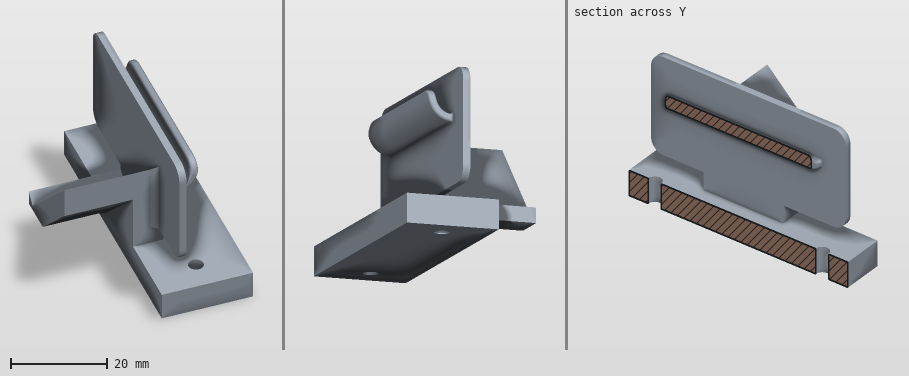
import cadquery as cq
import math

base_length = 57.15
base_depth = 20.3
base_height = 6.35
hole_diameter = 3.3
hole_spacing = 43.65

plate_length = 50.75
plate_bottom = 10.8
plate_top = 35.25
plate_front = 5.15
plate_thickness = 1.6
plate_back = plate_front + plate_thickness
corner_radius = 3.2

arm_left = -9.05
arm_right = 11.8
arm_reach = 15.25
valley_x = -6.8
valley_z = 7.45
under_right_z = 19.05
seat_right_z = valley_z + arm_right - valley_x
lip_z = valley_z + valley_x - arm_left
under_left_x = arm_right - (under_right_z - base_height)

side_gusset = 1.55
lower_gusset = 3.1

hook_length = 38.2
hook_outer_radius = 5.15
hook_thickness = 1.65
hook_center_z = 29.5
hook_top = 31.2
hook_edge_radius = 0.5
hook_root_radius = 0.45


def box_between(low, high):
    """Box spanning two opposite corners."""
    size = [b - a for a, b in zip(low, high)]
    return cq.Workplane("XY").box(*size, centered=False).translate(low)


def extrude_along_y(points, front, back):
    """Closed X-Z outline extruded between two Y positions."""
    profile = cq.Workplane("XZ", origin=(0, back, 0)).polyline(points).close()
    return profile.extrude(back - front)


def make_base():
    half_length = base_length / 2
    block = box_between((-half_length, 0, 0), (half_length, base_depth, base_height))
    drill = (
        cq.Workplane("XY")
        .pushPoints([(side * hole_spacing / 2, base_depth / 2) for side in (-1, 1)])
        .circle(hole_diameter / 2)
        .extrude(base_height)
    )
    return block.cut(drill)


def make_plate():
    half_length = plate_length / 2
    low = (-half_length, plate_front, plate_bottom)
    high = (half_length, plate_back, plate_top)
    return box_between(low, high).edges("|Y").fillet(corner_radius)


def make_post():
    """Post carrying the plate above the base."""
    low = (arm_left, plate_front, base_height)
    high = (arm_right, plate_back, plate_bottom)
    return box_between(low, high)


def make_arm():
    """Sloping seat, with a web below it that ends flush with the base front."""
    seat = extrude_along_y(
        [
            (arm_left, base_height),
            (arm_left, lip_z),
            (valley_x, valley_z),
            (arm_right, seat_right_z),
            (arm_right, under_right_z),
            (under_left_x, base_height),
        ],
        -arm_reach,
        plate_front,
    )
    web = extrude_along_y(
        [
            (under_left_x, base_height),
            (arm_right, under_right_z),
            (arm_right, base_height),
        ],
        0,
        plate_front,
    )
    return seat.union(web)


def make_lower_gusset():
    """Wedge between the arm underside and the base front, following the arm slope."""
    wedge = (
        cq.Workplane("YZ", origin=(arm_left, 0, 0))
        .polyline([(0, base_height), (-lower_gusset, base_height), (0, base_height - lower_gusset)])
        .close()
        .extrude(under_left_x - arm_left)
    )
    bottom = base_height - lower_gusset
    limit = extrude_along_y(
        [
            (arm_left, bottom),
            (arm_left, base_height),
            (under_left_x, base_height),
            (under_left_x - lower_gusset, bottom),
        ],
        -lower_gusset,
        0,
    )
    return wedge.intersect(limit)


def make_side_gusset():
    """Wedge between the arm side and the plate, its top following the seat slope."""
    wedge = (
        cq.Workplane("XY", origin=(0, 0, plate_bottom))
        .polyline(
            [
                (arm_right, plate_front),
                (arm_right + side_gusset, plate_front),
                (arm_right, plate_front - side_gusset),
            ]
        )
        .close()
        .extrude(plate_top - plate_bottom)
    )
    limit = extrude_along_y(
        [
            (arm_right, plate_bottom),
            (arm_right, seat_right_z),
            (arm_right + side_gusset, seat_right_z + side_gusset),
            (arm_right + side_gusset, plate_bottom),
        ],
        plate_front - side_gusset,
        plate_front,
    )
    return wedge.intersect(limit)


def make_hook():
    """Quarter-round strip turning up to a straight lip with rounded corners and edges."""
    inner_radius = hook_outer_radius - hook_thickness
    diagonal = math.sqrt(0.5)
    outer_y = plate_back + hook_outer_radius
    inner_y = plate_back + inner_radius
    strip = (
        cq.Workplane("YZ")
        .moveTo(plate_back, hook_center_z - hook_outer_radius)
        .threePointArc(
            (plate_back + hook_outer_radius * diagonal, hook_center_z - hook_outer_radius * diagonal),
            (outer_y, hook_center_z),
        )
        .lineTo(outer_y, hook_top)
        .lineTo(inner_y, hook_top)
        .lineTo(inner_y, hook_center_z)
        .threePointArc(
            (plate_back + inner_radius * diagonal, hook_center_z - inner_radius * diagonal),
            (plate_back, hook_center_z - inner_radius),
        )
        .close()
        .extrude(hook_length / 2, both=True)
    )
    half_length = hook_length / 2
    low = (-half_length, plate_back, hook_center_z - hook_outer_radius)
    high = (half_length, outer_y, hook_top)
    corner_limit = box_between(low, high).edges("|Y and >Z").fillet(corner_radius)
    strip = strip.intersect(corner_limit)
    return strip.edges("|X and >Z").fillet(hook_edge_radius)


def make_plate_with_hook():
    """Plate and hook joined, with a rounded root all around the hook."""
    joined = make_plate().union(make_hook())
    margin = hook_root_radius
    root_zone = cq.selectors.BoxSelector(
        (
            -hook_length / 2 - margin,
            plate_back - hook_root_radius / 10,
            hook_center_z - hook_outer_radius - margin,
        ),
        (
            hook_length / 2 + margin,
            plate_back + hook_root_radius / 10,
            hook_center_z - hook_outer_radius + hook_thickness + margin,
        ),
        boundingbox=True,
    )
    return joined.edges(root_zone).fillet(hook_root_radius)


result = (
    make_base()
    .union(make_post())
    .union(make_arm())
    .union(make_lower_gusset())
    .union(make_plate_with_hook())
    .union(make_side_gusset())
)